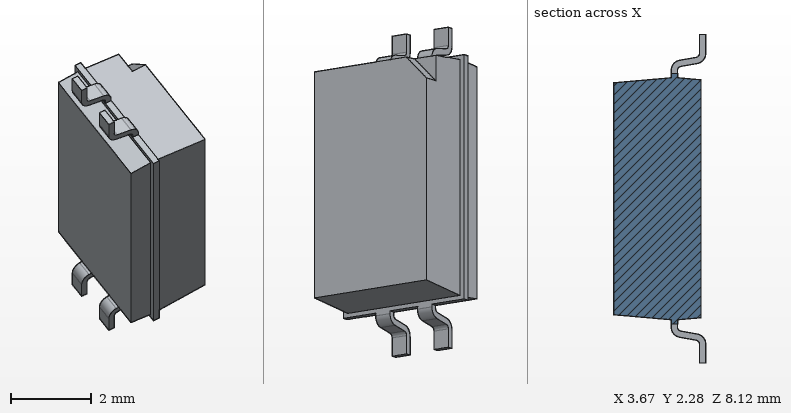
import cadquery as cq
import math

overall_length = 8.12
flange_width = 3.67
flange_length = 6.2
flange_thickness = 0.17
flange_front = 0.69
body_width = 3.4
body_length = 6.0
body_front = 0.12
body_back = 2.28
draft_angle = 5.0

lead_width = 0.44
lead_pitch = 1.27
lead_thickness = 0.16
lead_inner_radius = 0.1
lead_bend_angle = 80.0
foot_length = 0.465

notch_size = 0.61
notch_depth = 0.4

flange_back = flange_front + flange_thickness
parting_plane = flange_front + flange_thickness / 2


def make_body():
    """Block with straight sides and end faces drafted away from the parting plane."""
    draft = math.tan(math.radians(draft_angle))
    half_parting = body_length / 2
    half_front = half_parting - (parting_plane - body_front) * draft
    half_back = half_parting - (body_back - parting_plane) * draft
    outline = [
        (body_front, -half_front),
        (parting_plane, -half_parting),
        (body_back, -half_back),
        (body_back, half_back),
        (parting_plane, half_parting),
        (body_front, half_front),
    ]
    body = cq.Workplane("YZ").polyline(outline).close().extrude(body_width / 2, both=True)
    return body.cut(make_notch(half_back))


def make_notch(corner_z):
    """Wedge that bevels the body's corner beside the back face, marking pin 1."""
    corner_x = -body_width / 2
    clearance = 0.5
    outline = [
        (corner_x - clearance, corner_z - notch_size - clearance),
        (corner_x + notch_size + clearance, corner_z + clearance),
        (corner_x - clearance, corner_z + clearance),
    ]
    wedge = cq.Workplane("XZ", origin=(0, body_back, 0)).polyline(outline).close()
    return wedge.extrude(notch_depth)


def make_flange():
    """Thin rim around the body at the parting plane."""
    return cq.Workplane("XY").box(flange_width, flange_thickness, flange_length).translate(
        (0, parting_plane, 0)
    )


def make_lead(x_centre):
    """Gull-wing lead at the +Z end: straight root, two opposite bends, straight foot."""
    angle = math.radians(lead_bend_angle)
    mid_radius = lead_inner_radius + lead_thickness / 2
    root_y = flange_back - lead_thickness / 2
    foot_y = lead_thickness / 2
    tip_z = overall_length / 2
    foot_z = tip_z - foot_length
    bend_y = mid_radius * (1 - math.cos(angle))
    bend_z = mid_radius * math.sin(angle)
    run_y = root_y - foot_y - 2 * bend_y
    run_z = run_y / math.tan(angle)
    bend_start_z = foot_z - 2 * bend_z - run_z
    half_angle = angle / 2
    half_bend_y = mid_radius * (1 - math.cos(half_angle))
    half_bend_z = mid_radius * math.sin(half_angle)

    root_z = body_length / 2 - lead_thickness
    path = (
        cq.Workplane("YZ", origin=(x_centre, 0, 0))
        .moveTo(root_y, root_z)
        .lineTo(root_y, bend_start_z)
        .threePointArc(
            (root_y - half_bend_y, bend_start_z + half_bend_z),
            (root_y - bend_y, bend_start_z + bend_z),
        )
        .lineTo(foot_y + bend_y, foot_z - bend_z)
        .threePointArc((foot_y + half_bend_y, foot_z - half_bend_z), (foot_y, foot_z))
        .lineTo(foot_y, tip_z)
    )
    section = cq.Workplane("XY", origin=(x_centre, root_y, root_z)).rect(lead_width, lead_thickness)
    return section.sweep(path)


result = make_body().union(make_flange())
for side in (-1, 1):
    lead = make_lead(side * lead_pitch / 2)
    result = result.union(lead).union(lead.mirror("XY"))